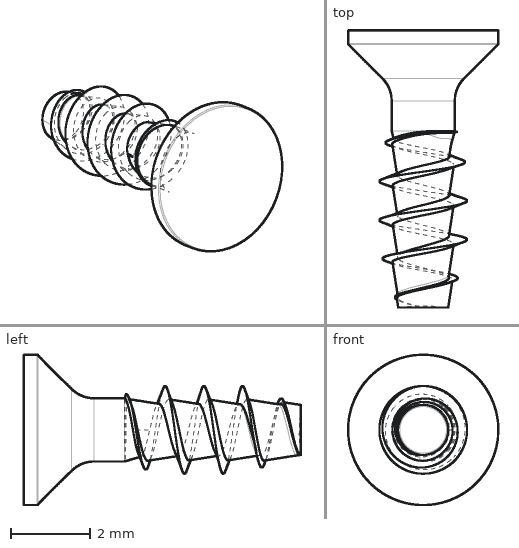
import cadquery as cq
import math

length = 7.0
head_radius = 1.9
head_rim_height = 0.35
head_edge_round = 0.03
head_cone_angle = 45.0
shank_radius = 0.8
neck_fillet_radius = 0.8
threaded_length = 4.45

pitch = 0.98
core_min_radius = 0.65
ridge_overlap = 0.005
ridge_turns = 4.75
ridge_radius = 0.79
core_taper = 0.157
tip_radius = 0.633
shoulder_taper = 0.28

crest_radius = 1.108
flank_slope = math.tan(math.radians(19))
thread_turns = 5.0
full_crest_start = 1.5
full_crest_end = 3.5
end_crest_radius = 0.8
run_out_gap = 0.015
buried_radius = 0.55

dish_radius = 0.59
dish_depth = 0.05

points_per_turn = 8
clip_radius = head_radius


def revolved(profile):
    """Revolve a closed (radius, Y) profile around the Y axis."""
    return profile.close().revolve(360, (0, 0, 0), (0, 1, 0))


def make_head_and_shank():
    """Countersunk head, filleted neck and plain shank."""
    angle = math.radians(head_cone_angle)
    fillet_drop = neck_fillet_radius * math.sin(angle)
    neck_radius = shank_radius + neck_fillet_radius * (1 - math.cos(angle))
    neck_y = -head_rim_height - (head_radius - neck_radius) / math.tan(angle)
    fillet_end_y = neck_y - fillet_drop
    half_angle = angle / 2
    fillet_mid = (
        shank_radius + neck_fillet_radius * (1 - math.cos(half_angle)),
        fillet_end_y + neck_fillet_radius * math.sin(half_angle),
    )
    profile = (
        cq.Workplane("XY")
        .lineTo(head_radius, 0)
        .lineTo(head_radius, -head_rim_height)
        .lineTo(neck_radius, neck_y)
        .threePointArc(fillet_mid, (shank_radius, fillet_end_y))
        .lineTo(shank_radius, threaded_length - length)
        .lineTo(0, threaded_length - length)
    )
    rim_edges = cq.selectors.RadiusNthSelector(-1)
    return revolved(profile).edges("%CIRCLE").edges(rim_edges).fillet(head_edge_round)


def crest_at(turn):
    """Crest radius of the thread after a number of turns from the tip."""
    if turn < full_crest_start:
        return tip_radius + (crest_radius - tip_radius) * turn / full_crest_start
    if turn > full_crest_end:
        fade = (turn - full_crest_end) / (thread_turns - full_crest_end)
        return crest_radius + (end_crest_radius - crest_radius) * fade
    return crest_radius


def thread_corners(turn):
    """Corners of the V rib as (radius, offset along Y)."""
    crest = crest_at(turn)
    half_width = (crest - buried_radius) * flank_slope
    level = min(0, threaded_length - run_out_gap - turn * pitch)
    return [(buried_radius, level + half_width), (crest, level), (buried_radius, level - half_width)]


def ridge_corners(turn):
    """Corners of the tapered core rib that fills the space below the thread."""
    low_radius = core_min_radius - ridge_overlap
    drop = (ridge_radius - low_radius) / core_taper
    return [(buried_radius, 0), (ridge_radius, 0), (low_radius, -drop), (buried_radius, -drop)]


def helix_point(turn, radius, offset):
    """Point on the right-hand helix that starts at the tip on the -Z side."""
    angle = 2 * math.pi * turn
    return cq.Vector(
        -radius * math.sin(angle),
        turn * pitch + offset - length,
        -radius * math.cos(angle),
    )


def helical_rib(corners_at, turn_count):
    """Solid whose section corners each follow their own helical edge."""
    steps = round(turn_count * points_per_turn)
    turns = [turn_count * step / steps for step in range(steps + 1)]
    sections = [[helix_point(turn, *corner) for corner in corners_at(turn)] for turn in turns]
    edges = [cq.Edge.makeSpline(list(path)) for path in zip(*sections)]
    faces = [cq.Face.makeRuledSurface(edges[i - 1], edges[i]) for i in range(len(edges))]
    for section in (sections[0], sections[-1]):
        faces.append(cq.Face.makeFromWires(cq.Wire.makePolygon(section, close=True)))
    rib = cq.Solid.makeSolid(cq.Shell.makeShell(faces))
    return cq.Workplane(rib.fix())


def make_core():
    """Threaded core with its saw-tooth taper, limited by the tip cone."""
    tip_y = -length
    shoulder_y = threaded_length - length
    shoulder_drop = (shank_radius - core_min_radius) / shoulder_taper
    root = revolved(
        cq.Workplane("XY")
        .moveTo(0, tip_y)
        .lineTo(core_min_radius, tip_y)
        .lineTo(core_min_radius, shoulder_y - shoulder_drop)
        .lineTo(shank_radius, shoulder_y)
        .lineTo(0, shoulder_y)
    )
    tip_cone_length = (shank_radius - tip_radius) / core_taper
    envelope = revolved(
        cq.Workplane("XY")
        .moveTo(0, tip_y)
        .lineTo(tip_radius, tip_y)
        .lineTo(shank_radius, tip_y + tip_cone_length)
        .lineTo(shank_radius, 0)
        .lineTo(0, 0)
    )
    return root.union(helical_rib(ridge_corners, ridge_turns)).intersect(envelope)


def make_thread():
    """Thread rib cut off flat at the tip and at the shoulder."""
    shoulder_y = threaded_length - length
    clip = cq.Workplane("XZ", origin=(0, shoulder_y, 0)).circle(clip_radius).extrude(threaded_length)
    return helical_rib(thread_corners, thread_turns).intersect(clip)


def make_tip_dish():
    """Sphere that hollows the tip face."""
    sphere_radius = (dish_radius**2 + dish_depth**2) / (2 * dish_depth)
    return cq.Workplane("XY", origin=(0, dish_depth - length - sphere_radius, 0)).sphere(sphere_radius)


screw = make_head_and_shank().union(make_core()).union(make_thread())
result = cq.Workplane(screw.cut(make_tip_dish()).solids().val())